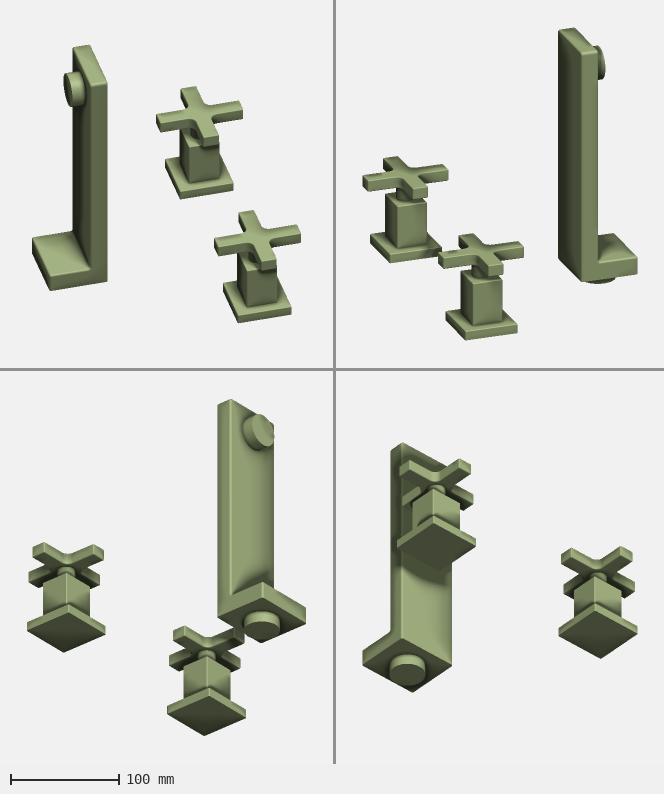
import cadquery as cq

overall_length = 279.8
overall_depth = 220.2
overall_height = 239.8

cross_span = 79.7
arm_width = 15.0
cross_bottom = 65.7
cross_top = 77.2
cross_corner_radius = 6.7
stem_diameter = 17.0
pedestal_length = 33.9
pedestal_width = 29.5
pedestal_top = 51.5
base_length = 53.2
base_width = 51.5
base_height = 9.2
base_offset = (-0.3, -0.35)
pedestal_offset = (0.0, -0.35)
handle_edge_radius = 1.0
handle_x = (overall_length - cross_span) / 2

spout_width = 63.2
foot_depth = 56.0
foot_height = 17.5
column_depth = 17.0
shank_diameter = 33.3
shank_length = 11.0
column_height = overall_height - shank_length
outlet_diameter = 31.5
outlet_length = 12.5
outlet_drop = 25.7
spout_edge_radius = 2.0
top_corner_radius = 3.0
spout_front_y = cross_span / 2 - overall_depth
spout_back_y = spout_front_y + foot_depth
column_front_y = spout_back_y - column_depth


def make_block(length, width, bottom, top, center):
    """Upright block with rounded vertical and top edges and a sharp bottom."""
    block = (
        cq.Workplane("XY", origin=(*center, bottom))
        .rect(length, width)
        .extrude(top - bottom)
    )
    return block.edges("|Z or >Z").fillet(handle_edge_radius)


def make_cross():
    """Four-armed grip with filleted inner corners and rounded outer edges."""
    thickness = cross_top - cross_bottom
    plane = cq.Workplane("XY", origin=(0, 0, cross_bottom))
    cross = (
        plane.rect(cross_span, arm_width)
        .extrude(thickness)
        .union(plane.rect(arm_width, cross_span).extrude(thickness))
    )
    inner_corners = cq.selectors.BoxSelector(
        (-arm_width, -arm_width, cross_bottom), (arm_width, arm_width, cross_top)
    )
    cross = cross.edges("|Z").edges(inner_corners).fillet(cross_corner_radius)
    end_edges = cross.edges("|Z and (<X or >X or <Y or >Y)")
    return end_edges.add(cross.edges("<Z or >Z")).fillet(handle_edge_radius)


def make_handle(axis_x):
    """Base plate, pedestal, stem and cross grip in one solid."""
    base = make_block(base_length, base_width, 0, base_height, base_offset)
    pedestal = make_block(
        pedestal_length, pedestal_width, base_height, pedestal_top, pedestal_offset
    )
    stem = (
        cq.Workplane("XY", origin=(0, 0, pedestal_top))
        .circle(stem_diameter / 2)
        .extrude(cross_bottom - pedestal_top)
    )
    handle = base.union(pedestal).union(stem).union(make_cross())
    return handle.translate((axis_x, 0, 0))


def make_spout_shell():
    """L-shaped column and foot, rounded everywhere but around the bottom face."""
    shell = (
        cq.Workplane("YZ", origin=(-spout_width / 2, 0, 0))
        .moveTo(spout_back_y, 0)
        .lineTo(spout_back_y, column_height)
        .lineTo(column_front_y, column_height)
        .lineTo(column_front_y, foot_height)
        .lineTo(spout_front_y, foot_height)
        .lineTo(spout_front_y, 0)
        .close()
        .extrude(spout_width)
    )
    top_corners = "|Y and >Z and (<X or >X)"
    shell = shell.edges(top_corners).fillet(top_corner_radius)
    foot_side_edges = shell.edges("|Y").edges(">>Z[1]")
    rounded_edges = shell.faces("|Y").edges("not <Z").add(foot_side_edges)
    return rounded_edges.fillet(spout_edge_radius)


def make_spout():
    """Spout shell with its round outlet and the shank below the deck."""
    outlet = (
        cq.Workplane("XZ", origin=(0, column_front_y, column_height - outlet_drop))
        .circle(outlet_diameter / 2)
        .extrude(outlet_length)
    )
    shank = (
        cq.Workplane("XY", origin=(0, spout_front_y + foot_depth / 2, 0))
        .circle(shank_diameter / 2)
        .extrude(-shank_length)
    )
    return make_spout_shell().union(outlet).union(shank)


spout = make_spout()
handles = [make_handle(axis_x) for axis_x in (-handle_x, handle_x)]

result = cq.Compound.makeCompound([spout.val(), *(handle.val() for handle in handles)])